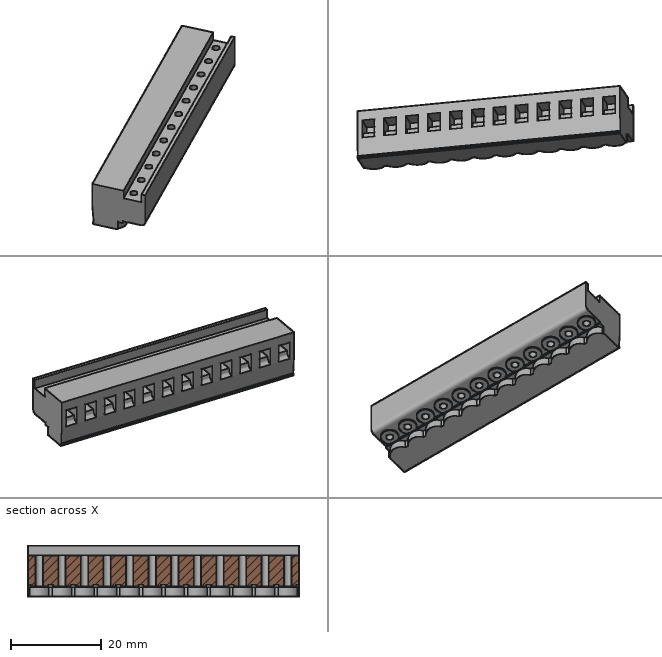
import cadquery as cq

pole_count = 12
pitch = 5.0
length = pole_count * pitch
pole_centres = [(index + 0.5) * pitch - length / 2 for index in range(pole_count)]

width = 12.4
height = 11.3
channel_left = 7.36
channel_right = 11.55
channel_floor = 9.15
overhang_z = 2.6
overhang_radius = 1.0
neck_x = 7.15

draft_top = 4.85
draft_inset = 0.3
bead_inset = 0.15
bead_top = 0.7
bead_bevel = 0.2

foot_height = 2.1
foot_wall_x = 5.95
lobe_radius = pitch / 2

hole_x = 8.87
hole_diameter = 1.6
boss_radius = 2.0
boss_drop = 0.3

window_width = 2.8
window_top = 9.0
ceiling_slope_drop = 0.18
pocket_depth = 4.0
ramp_end_x = 0.75
ramp_end_z = 5.2
lip_foot_x = 1.05
lip_foot_z = 5.6
blend_mid_x = 0.95
blend_mid_z = 5.35
lip_top_x = 1.2
lip_top_z = 6.3


def extrude_along_y(outline, depth, y_centre):
    """Extrude a closed XZ outline symmetrically about y_centre."""
    return outline.extrude(depth / 2, both=True).translate((0, y_centre, 0))


def make_body():
    outline = (
        cq.Workplane("XZ")
        .moveTo(0, height)
        .lineTo(channel_left, height)
        .lineTo(channel_left, channel_floor)
        .lineTo(channel_right, channel_floor)
        .lineTo(channel_right, height)
        .lineTo(width, height)
        .lineTo(width, overhang_z + overhang_radius)
        .radiusArc((width - overhang_radius, overhang_z), overhang_radius)
        .lineTo(neck_x, overhang_z)
        .lineTo(neck_x, foot_height)
        .lineTo(foot_wall_x, foot_height)
        .lineTo(foot_wall_x, 0)
        .lineTo(bead_inset + bead_bevel, 0)
        .lineTo(bead_inset, bead_bevel)
        .lineTo(bead_inset, bead_top - bead_bevel)
        .lineTo(draft_inset, bead_top)
        .lineTo(0, draft_top)
        .close()
    )
    return extrude_along_y(outline, length, 0)


def make_cylinder(x, y, radius, z_bottom, z_top):
    disc = cq.Workplane("XY", origin=(x, y, z_bottom)).circle(radius)
    return disc.extrude(z_top - z_bottom)


def make_wire_entry(y):
    """Pocket with a sloping ramp, a lip and a slightly sloped ceiling at its mouth."""
    outline = (
        cq.Workplane("XZ")
        .moveTo(0, draft_top)
        .lineTo(ramp_end_x, ramp_end_z)
        .threePointArc((blend_mid_x, blend_mid_z), (lip_foot_x, lip_foot_z))
        .lineTo(lip_top_x, lip_top_z)
        .lineTo(pocket_depth, lip_top_z)
        .lineTo(pocket_depth, window_top - ceiling_slope_drop)
        .lineTo(0, window_top)
        .close()
    )
    return extrude_along_y(outline, window_width, y)


result = make_body()
for pole_y in pole_centres:
    lobe = make_cylinder(neck_x - lobe_radius, pole_y, lobe_radius, 0, foot_height)
    boss = make_cylinder(hole_x, pole_y, boss_radius, overhang_z - boss_drop, overhang_z)
    hole = make_cylinder(hole_x, pole_y, hole_diameter / 2, 0, height)
    result = result.union(lobe).union(boss)
    result = result.cut(hole).cut(make_wire_entry(pole_y))